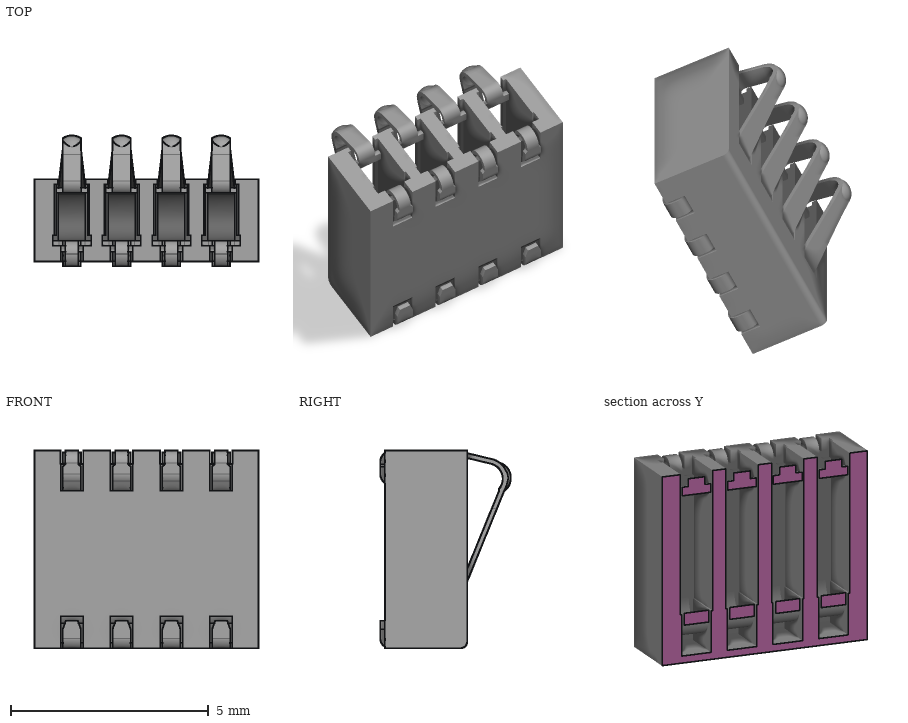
import cadquery as cq
import math

BODY_WIDTH = 5.66
BODY_DEPTH = 2.085
BODY_HEIGHT = 5.0
BACK_EDGE_RADIUS = 0.17
CONTACT_COUNT = 4
PITCH = 1.257

THICKNESS = 0.125
HALF = THICKNESS / 2
FRONT_OVERHANG = 0.12
BACK_OVERHANG = 1.105

POCKET_WIDTH = 0.88
LOWER_POCKET_WIDTH = 0.80
POCKET_LEDGE = 1.30
POCKET_FLOOR = 0.20
BACK_WALL = 0.135
BACK_OPENING_WIDTH = 0.71
BACK_OPENING_FLOOR = POCKET_LEDGE
PLATE_SLOT_WIDTH = 0.97
PLATE_SLOT_FRONT = 0.40
PLATE_SLOT_BACK = 0.66

RECESS_WIDTH = 0.57
UPPER_RECESS_FLOOR = 3.985
UPPER_RECESS_DEPTH = 0.25
HOOK_WALL_TOP = 4.66
LOWER_RECESS_TOP = 0.81
LOWER_RECESS_BACK_TOP = 0.637
LOWER_RECESS_DEPTH = 0.09
TAIL_CHANNEL_HEIGHT = 0.137

PLATE_TOP = 4.50
PLATE_FILLET = 0.16
PLATE_Y = PLATE_SLOT_FRONT + HALF

FRONT_Y = HALF - FRONT_OVERHANG
HOOK_OUTER_RADIUS = 0.31
HOOK_TIP_RADIUS = 0.28
HOOK_TIP_BEND_Z = 4.33
HOOK_TIP_Z = 4.02
HOOK_TIP_ANGLE = math.radians(40)
HOOK_WIDTH = 0.455
HOOK_NECK_WIDTH = 0.33
HOOK_FLARE_LOW = 4.59
HOOK_FLARE_HIGH = 4.65

TAIL_OUTER_RADIUS = 0.26
TAIL_TOP = 0.70
TAIL_TOP_WIDTH = 0.30
TAIL_TAPER_Z = 0.48
TAIL_ROOT_Z = 0.80

ARM_SLOPE = math.radians(67.8)
ARM_EXIT_Z = 1.855
TOP_SLOPE = math.radians(13.4)
TOP_EXIT_Z = 4.866
SPRING_BEND_RADIUS = 0.45
LOOP_RADIUS = 0.67
END_Y = 1.80
END_BEND_RADIUS = 0.185
END_BOTTOM = 4.42
SHOULDER_TOP = 4.66
SHOULDER_WIDTH = 0.80
LOOP_WIDTH = 0.68
SPRING_WIDTH = 0.465
TAPER_LOW = 1.30
TAPER_HIGH = 3.54

DOME_RADIUS = 0.40
DOME_RIM_OFFSET = 0.09
DOME_TILT = math.radians(6)


def box(width, y_range, z_range):
    """Box centred on X, between two Y and two Z limits."""
    (y0, y1), (z0, z1) = y_range, z_range
    return cq.Workplane("XY").box(width, y1 - y0, z1 - z0).translate((0, (y0 + y1) / 2, (z0 + z1) / 2))


def extrude_side(sketch, width):
    """Extrude a closed YZ outline to a width centred on X."""
    return sketch.extrude(width / 2, both=True)


def unit(start, end):
    length = math.dist(start, end)
    return ((end[0] - start[0]) / length, (end[1] - start[1]) / length)


def bend_centre(before, corner, after, radius):
    """Centre of the arc of this radius that is tangent to both legs of a corner."""
    back = unit(corner, before)
    ahead = unit(corner, after)
    half_angle = math.acos(back[0] * ahead[0] + back[1] * ahead[1]) / 2
    middle = unit((0, 0), (back[0] + ahead[0], back[1] + ahead[1]))
    reach = radius / math.sin(half_angle)
    return (corner[0] + middle[0] * reach, corner[1] + middle[1] * reach)


def strip_edge(points, radii, offset):
    """Line and arc pieces of a bent path, shifted to its left by offset: (middle, end) pairs."""
    def shifted(point, heading):
        return (point[0] - heading[1] * offset, point[1] + heading[0] * offset)

    pieces = [(None, shifted(points[0], unit(points[0], points[1])))]
    for before, corner, after, radius in zip(points, points[1:], points[2:], radii):
        centre = bend_centre(before, corner, after, radius)
        arrive = unit(before, corner)
        leave = unit(corner, after)
        turn_left = arrive[0] * leave[1] - arrive[1] * leave[0] > 0
        side = 1 if turn_left else -1
        arc_radius = radius - side * offset
        outward = unit(centre, corner)

        def on_arc(direction):
            return (centre[0] + direction[0] * arc_radius, centre[1] + direction[1] * arc_radius)

        pieces.append((None, on_arc((side * arrive[1], -side * arrive[0]))))
        pieces.append((on_arc(outward), on_arc((side * leave[1], -side * leave[0]))))
    pieces.append((None, shifted(points[-1], unit(points[-2], points[-1]))))
    return pieces


def bent_strip(points, radii, width):
    """Strip of constant thickness along a YZ centre line with rounded corners."""
    left = strip_edge(points, radii, HALF)
    right = strip_edge(points[::-1], radii[::-1], HALF)
    outline = cq.Workplane("YZ").moveTo(*left[0][1])
    for middle, end in left[1:] + right:
        if middle is None:
            outline = outline.lineTo(*end)
        else:
            outline = outline.threePointArc(middle, end)
    return extrude_side(outline.close(), width)


def front_mask(half_outline):
    """Blank, symmetric about X = 0, whose front outline has these (half width, Z) points."""
    mirrored = [(-x, z) for x, z in reversed(half_outline)]
    reach = BODY_DEPTH + BACK_OVERHANG
    return cq.Workplane("XZ").polyline(half_outline + mirrored).close().extrude(reach, both=True)


def make_body():
    body = box(BODY_WIDTH, (0, BODY_DEPTH), (0, BODY_HEIGHT))
    return body.edges("|X and >Y and <Z").fillet(BACK_EDGE_RADIUS)


def make_cavity():
    """Everything removed from the housing for one contact."""
    pocket_back = BODY_DEPTH - BACK_WALL
    plate_slot = (PLATE_SLOT_FRONT, PLATE_SLOT_BACK)
    pocket_depth = (PLATE_SLOT_FRONT + THICKNESS, pocket_back)
    cavity = box(POCKET_WIDTH, pocket_depth, (POCKET_LEDGE, BODY_HEIGHT))
    cavity = cavity.union(box(LOWER_POCKET_WIDTH, pocket_depth, (POCKET_FLOOR, POCKET_LEDGE)))
    cavity = cavity.union(box(PLATE_SLOT_WIDTH, plate_slot, (POCKET_FLOOR, BODY_HEIGHT)))
    cavity = cavity.union(
        box(BACK_OPENING_WIDTH, (pocket_back, BODY_DEPTH), (BACK_OPENING_FLOOR, BODY_HEIGHT)))
    cavity = cavity.union(box(RECESS_WIDTH, (0, PLATE_SLOT_FRONT), (HOOK_WALL_TOP, BODY_HEIGHT)))
    cavity = cavity.union(box(RECESS_WIDTH, (0, UPPER_RECESS_DEPTH), (UPPER_RECESS_FLOOR, BODY_HEIGHT)))
    lower = cq.Workplane("YZ").polyline([
        (0, 0),
        (LOWER_RECESS_DEPTH, 0),
        (LOWER_RECESS_DEPTH, LOWER_RECESS_BACK_TOP),
        (0, LOWER_RECESS_TOP),
    ]).close()
    cavity = cavity.union(extrude_side(lower, RECESS_WIDTH))
    channel = box(RECESS_WIDTH, (0, PLATE_SLOT_FRONT + THICKNESS), (0, TAIL_CHANNEL_HEIGHT))
    return cavity.union(channel)


def make_plate():
    """Upright plate with concave shoulders running up into the hook neck."""
    neck = HOOK_NECK_WIDTH / 2
    edge = PLATE_SLOT_WIDTH / 2
    fillet_top = PLATE_TOP + PLATE_FILLET
    middle = PLATE_FILLET * (1 - math.sqrt(0.5))
    outline = (
        cq.Workplane("XZ", origin=(0, PLATE_SLOT_FRONT + THICKNESS, 0))
        .moveTo(-edge, POCKET_FLOOR)
        .lineTo(edge, POCKET_FLOOR)
        .lineTo(edge, PLATE_TOP)
        .lineTo(neck + PLATE_FILLET, PLATE_TOP)
        .threePointArc((neck + middle, PLATE_TOP + middle), (neck, fillet_top))
        .lineTo(-neck, fillet_top)
        .threePointArc((-neck - middle, PLATE_TOP + middle), (-neck - PLATE_FILLET, PLATE_TOP))
        .lineTo(-edge, PLATE_TOP)
        .close()
    )
    return outline.extrude(THICKNESS)


def make_hook():
    """Strip from the plate over the front wall, down the front and back into the recess."""
    top_z = BODY_HEIGHT - HALF
    bend = HOOK_OUTER_RADIUS - HALF
    tip_run = (HOOK_TIP_BEND_Z - HOOK_TIP_Z) * math.tan(HOOK_TIP_ANGLE)
    path = [
        (PLATE_Y, PLATE_TOP),
        (PLATE_Y, top_z),
        (FRONT_Y, top_z),
        (FRONT_Y, HOOK_TIP_BEND_Z),
        (FRONT_Y + tip_run, HOOK_TIP_Z),
    ]
    strip = bent_strip(path, [bend, bend, HOOK_TIP_RADIUS - HALF], HOOK_WIDTH)
    return strip.intersect(front_mask([
        (HOOK_WIDTH / 2, 0),
        (HOOK_WIDTH / 2, HOOK_FLARE_LOW),
        (HOOK_NECK_WIDTH / 2, HOOK_FLARE_HIGH),
        (HOOK_NECK_WIDTH / 2, BODY_HEIGHT),
    ]))


def make_tail():
    """Strip from the foot of the plate, forward under the front wall and up the front."""
    bend = TAIL_OUTER_RADIUS - HALF
    path = [(PLATE_Y, TAIL_ROOT_Z), (PLATE_Y, HALF), (FRONT_Y, HALF), (FRONT_Y, TAIL_TOP)]
    strip = bent_strip(path, [bend, bend], HOOK_WIDTH)
    tip = front_mask([
        (HOOK_WIDTH / 2, 0),
        (HOOK_WIDTH / 2, TAIL_TAPER_Z),
        (TAIL_TOP_WIDTH / 2, TAIL_TOP),
        (TAIL_TOP_WIDTH / 2, TAIL_ROOT_Z),
    ])
    return strip.intersect(tip)


def spring_path():
    """Centre line of the spring: plate, bottom loop, rising arm, top bend, inner end."""
    arm_rise = math.tan(ARM_SLOPE)
    top_fall = math.tan(TOP_SLOPE)
    loop_z = ARM_EXIT_Z - (BODY_DEPTH - PLATE_Y) * arm_rise
    bend_reach = (TOP_EXIT_Z - ARM_EXIT_Z) / (arm_rise + top_fall)
    end_z = TOP_EXIT_Z + (BODY_DEPTH - END_Y) * top_fall
    return [
        (PLATE_Y, PLATE_TOP),
        (PLATE_Y, loop_z),
        (BODY_DEPTH + bend_reach, TOP_EXIT_Z - bend_reach * top_fall),
        (END_Y, end_z),
        (END_Y, END_BOTTOM),
    ]


def add_dome(spring, path):
    """Spherical dome, hollow on the inside, pointing backward from the top bend."""
    centre_y, centre_z = bend_centre(*path[1:4], SPRING_BEND_RADIUS)
    shift = BODY_DEPTH + BACK_OVERHANG - DOME_RADIUS - centre_y
    dome_centre = (0, centre_y + shift, centre_z + shift * math.tan(DOME_TILT))
    inner_radius = SPRING_BEND_RADIUS - HALF
    inside = extrude_side(cq.Workplane("YZ").center(centre_y, centre_z).circle(inner_radius), SPRING_WIDTH)
    dome_depth = (dome_centre[1] + DOME_RIM_OFFSET, BODY_DEPTH + BACK_OVERHANG)
    back_part = box(SPRING_WIDTH, dome_depth, (ARM_EXIT_Z, BODY_HEIGHT))
    dome = cq.Workplane("XY").sphere(DOME_RADIUS).translate(dome_centre)
    hollow = cq.Workplane("XY").sphere(DOME_RADIUS - THICKNESS).translate(dome_centre)
    return spring.union(dome.intersect(back_part).cut(inside)).cut(hollow)


def make_spring():
    path = spring_path()
    strip = bent_strip(path, [LOOP_RADIUS, SPRING_BEND_RADIUS, END_BEND_RADIUS], LOOP_WIDTH)
    tapered = strip.intersect(front_mask([
        (LOOP_WIDTH / 2, 0),
        (LOOP_WIDTH / 2, TAPER_LOW),
        (SPRING_WIDTH / 2, TAPER_HIGH),
        (SPRING_WIDTH / 2, BODY_HEIGHT),
    ]))
    spring = tapered.cut(box(LOOP_WIDTH, (0, PLATE_SLOT_BACK), (TAPER_LOW, BODY_HEIGHT)))
    shoulders = box(SHOULDER_WIDTH, (END_Y - HALF, END_Y + HALF), (END_BOTTOM, SHOULDER_TOP))
    return add_dome(spring, path).union(shoulders)


def make_contact():
    return make_plate().union(make_hook()).union(make_tail()).union(make_spring())


result = make_body()
cavity = make_cavity()
contact = make_contact()
for index in range(CONTACT_COUNT):
    offset = ((index - (CONTACT_COUNT - 1) / 2) * PITCH, 0, 0)
    result = result.cut(cavity.translate(offset)).union(contact.translate(offset))